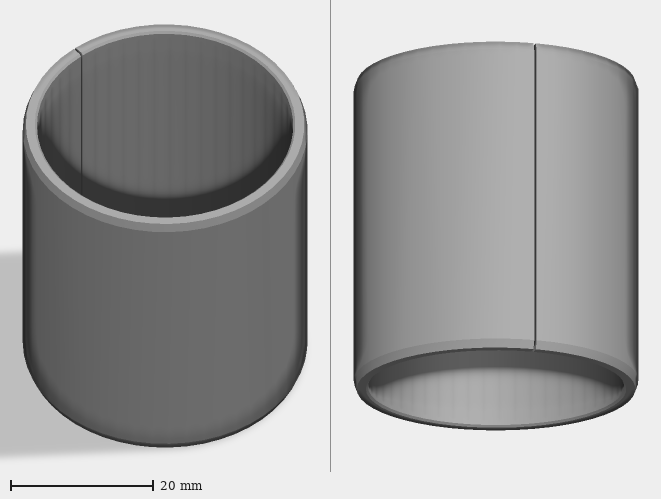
import cadquery as cq
import math

outer_diameter = 40.0
inner_diameter = 36.0
length = 45.0

outer_chamfer_length = 1.2
outer_chamfer_angle = 20.0
outer_chamfer_depth = outer_chamfer_length * math.tan(math.radians(outer_chamfer_angle))

inner_chamfer = 0.3

slit_angle = 1.0

outer_radius = outer_diameter / 2
inner_radius = inner_diameter / 2


def make_sleeve():
    """Revolve the wall section about Z from the -X side, leaving the slit open."""
    half_length = length / 2
    outer_edge = half_length - outer_chamfer_length
    inner_edge = half_length - inner_chamfer
    end_outer_radius = outer_radius - outer_chamfer_depth
    end_inner_radius = inner_radius + inner_chamfer
    return (
        cq.Workplane("XZ")
        .moveTo(-end_inner_radius, -half_length)
        .lineTo(-end_outer_radius, -half_length)
        .lineTo(-outer_radius, -outer_edge)
        .lineTo(-outer_radius, outer_edge)
        .lineTo(-end_outer_radius, half_length)
        .lineTo(-end_inner_radius, half_length)
        .lineTo(-inner_radius, inner_edge)
        .lineTo(-inner_radius, -inner_edge)
        .close()
        .revolve(360 - slit_angle, (0, 0, 0), (0, 1, 0))
    )


result = make_sleeve()